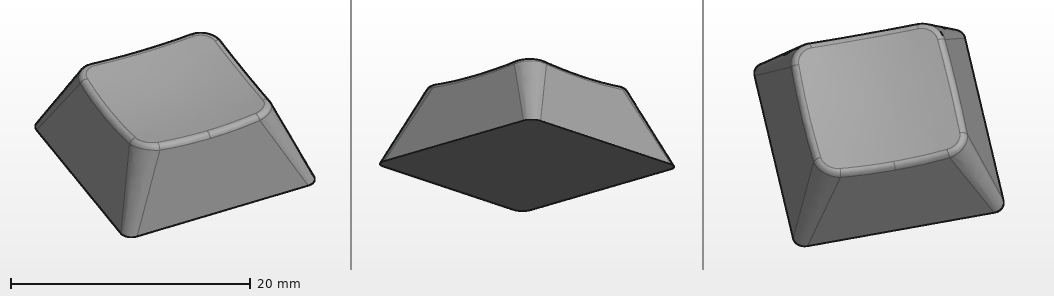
import cadquery as cq

base_side = 18.0
base_corner_radius = 1.0
top_side = 12.6
top_corner_radius = 2.0
untrimmed_height = 7.02

dish_radius = 40.5
dish_floor_height = 6.0

rim_fillet = 0.6


def rounded_square(side, corner_radius):
    return cq.Sketch().rect(side, side).vertices().fillet(corner_radius)


def make_body():
    base = rounded_square(base_side, base_corner_radius)
    top = rounded_square(top_side, top_corner_radius)
    raised_top = top.moved(cq.Location(cq.Vector(0, 0, untrimmed_height)))
    return cq.Workplane("XY").placeSketch(base, raised_top).loft(ruled=True)


def make_dish():
    center_height = dish_floor_height + dish_radius
    return cq.Workplane("XY").sphere(dish_radius).translate((0, 0, center_height))


dished_body = make_body().cut(make_dish())
result = dished_body.faces(">Z").edges().fillet(rim_fillet)